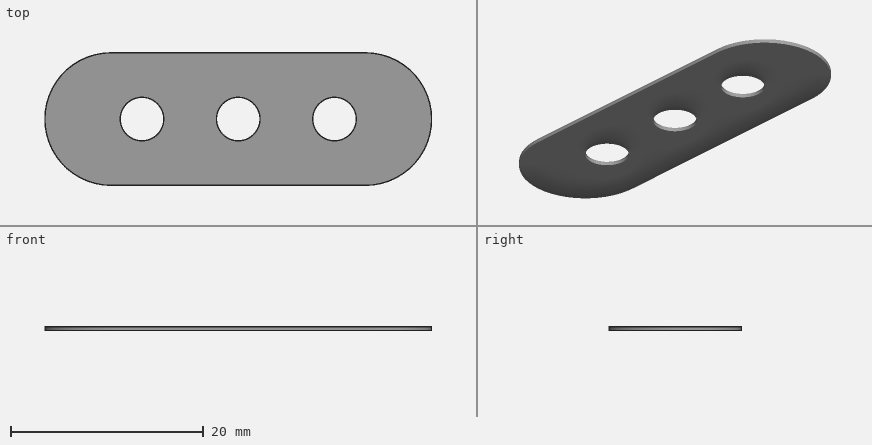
import cadquery as cq

LENGTH = 40.2
WIDTH = 13.8
THICKNESS = 0.41
HOLE_DIAMETER = 4.5
HOLE_PITCH = 10.0
HOLE_COUNT = 3


def make_plate():
    """Flat strip with fully rounded ends, resting on Z = 0."""
    return cq.Workplane("XY").slot2D(LENGTH, WIDTH).extrude(THICKNESS)


def drill_holes(plate):
    """Row of equally spaced through holes along the long centreline."""
    return plate.faces(">Z").workplane().rarray(HOLE_PITCH, WIDTH, HOLE_COUNT, 1).hole(HOLE_DIAMETER)


result = drill_holes(make_plate())